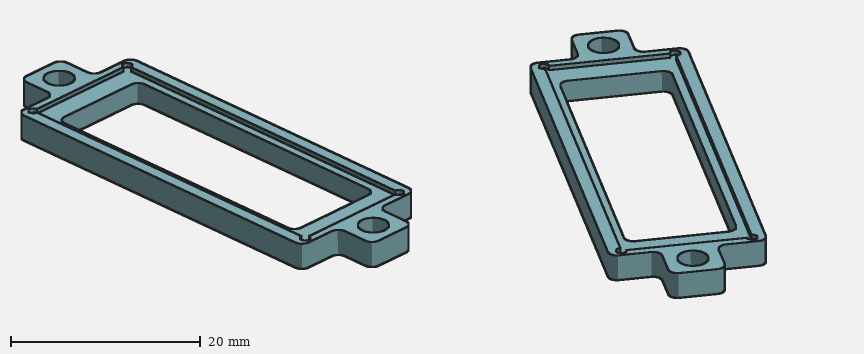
import cadquery as cq

overall_length = 52.0
frame_length = 42.0
frame_width = 17.0
thickness = 3.0
corner_radius = 1.0

tab_width = 6.1
hole_diameter = 3.3
hole_edge_distance = 2.8
hole_spacing = overall_length - 2 * hole_edge_distance

window_length = 34.95
window_width = 12.05

seat_length = 40.15
seat_width = 14.1
seat_depth = 0.5
relief_diameter = 1.1


def make_plate():
    """Frame and end tabs with all vertical edges rounded."""
    frame = cq.Workplane("XY").box(frame_length, frame_width, thickness)
    tabs = cq.Workplane("XY").box(overall_length, tab_width, thickness)
    return frame.union(tabs).edges("|Z").fillet(corner_radius)


def make_window():
    """Rounded rectangular opening through the frame."""
    window = cq.Workplane("XY").box(window_length, window_width, thickness)
    return window.edges("|Z").fillet(corner_radius)


def make_seat():
    """Rectangular recess with a circular relief centred on each corner."""
    floor = cq.Workplane("XY").workplane(offset=thickness / 2 - seat_depth)
    pocket = floor.rect(seat_length, seat_width).extrude(seat_depth)
    reliefs = (
        floor.rect(seat_length, seat_width, forConstruction=True)
        .vertices()
        .circle(relief_diameter / 2)
        .extrude(seat_depth)
    )
    return pocket.union(reliefs)


plate = make_plate().cut(make_window()).cut(make_seat())
result = (
    plate.faces(">Z")
    .workplane(origin=(0, 0, 0))
    .pushPoints([(-hole_spacing / 2, 0), (hole_spacing / 2, 0)])
    .hole(hole_diameter)
)